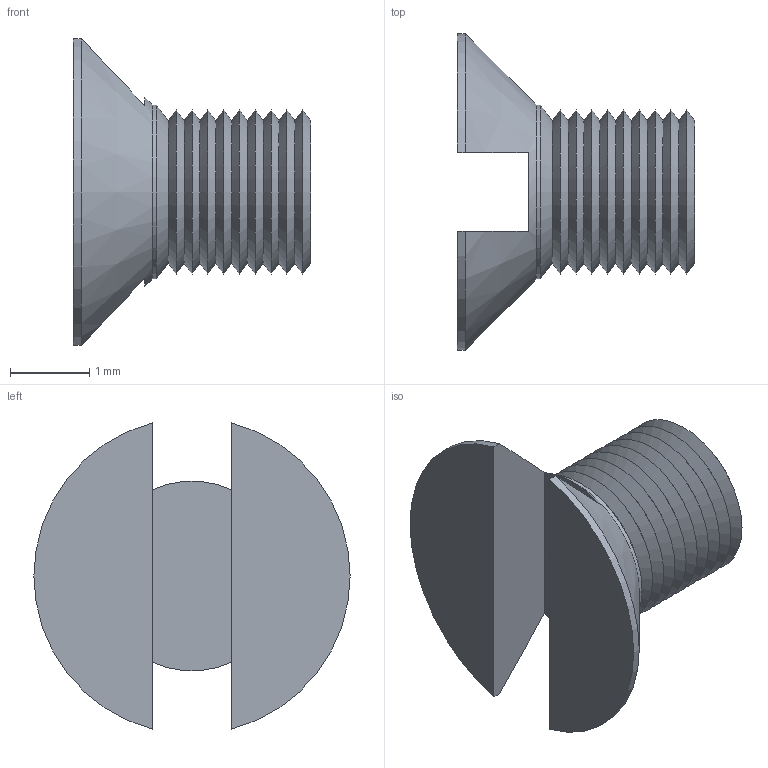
import cadquery as cq

total_length = 3.0
head_radius = 2.0
rim_length = 0.1

head_length = 1.0
cone_end_radius = head_radius - (head_length - rim_length)
neck_length = 0.05

thread_pitch = 0.2
thread_count = 9
crest_radius = 1.038
root_radius = 0.9
thread_start = total_length - thread_count * thread_pitch

slot_width = 1.0
slot_depth = 0.9


def screw_body():
    """Revolve the half profile of head, neck and thread ridges about the X axis."""
    profile = (
        cq.Workplane("XY")
        .moveTo(0, 0)
        .lineTo(0, head_radius)
        .lineTo(rim_length, head_radius)
        .lineTo(head_length, cone_end_radius)
        .lineTo(head_length + neck_length, cone_end_radius)
        .lineTo(thread_start, root_radius)
    )
    for ridge in range(thread_count):
        ridge_start = thread_start + ridge * thread_pitch
        profile = profile.lineTo(ridge_start + thread_pitch / 2, crest_radius)
        profile = profile.lineTo(ridge_start + thread_pitch, root_radius)
    profile = profile.lineTo(total_length, 0).close()
    return profile.revolve(360, (0, 0, 0), (1, 0, 0))


def driver_slot():
    """Box that cuts the slot across the full head diameter."""
    return cq.Workplane("XY").box(
        slot_depth, slot_width, 2 * head_radius, centered=(False, True, True)
    )


result = screw_body().cut(driver_slot())